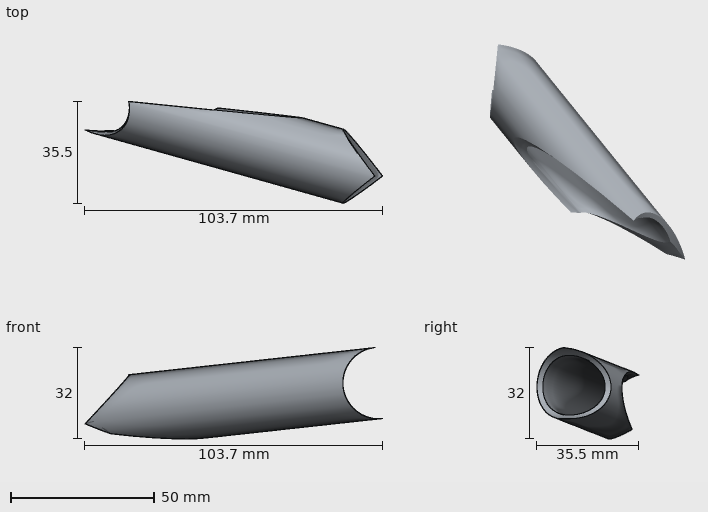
import cadquery as cq
import math

outer_radius = 12.5
wall = 2.0
joint = cq.Vector(-50.1, 19.5, -7.4)
cross_point = cq.Vector(49.8, -8.4, 3.6)
cutter_reach = 207.5

neighbours = [
    (1.25, 107.0),
    (1.73, -76.0),
    (3.5, -63.6),
    (5.9, 3.5),
]

axis = (cross_point - joint).normalized()
tube_length = (cross_point - joint).Length
sideways = cq.Vector(0, 0, 1).cross(axis).normalized()
upward = axis.cross(sideways)


def make_tube():
    section = cq.Workplane(cq.Plane(joint, sideways, axis))
    return section.circle(outer_radius).circle(outer_radius - wall).extrude(tube_length)


def neighbour_direction(slope, angle):
    """Axis of a neighbour whose saddle edge on this tube climbs at the given slope."""
    side_angle = math.radians(angle)
    side = sideways * math.cos(side_angle) + upward * math.sin(side_angle)
    opening = 2 * math.atan(1 / slope)
    return axis * math.cos(opening) + side * math.sin(opening)


def tube_cutter(point, direction, both_ways=False):
    """Solid cylinder of the tube diameter, starting at a point or running through it."""
    plane = cq.Plane(point, normal=direction)
    return cq.Workplane(plane).circle(outer_radius).extrude(cutter_reach, both=both_ways)


result = make_tube()
for slope, angle in neighbours:
    result = result.cut(tube_cutter(joint, neighbour_direction(slope, angle)))
cross_direction = cq.Vector(0, 1, 0)
result = result.cut(tube_cutter(cross_point, cross_direction, both_ways=True))